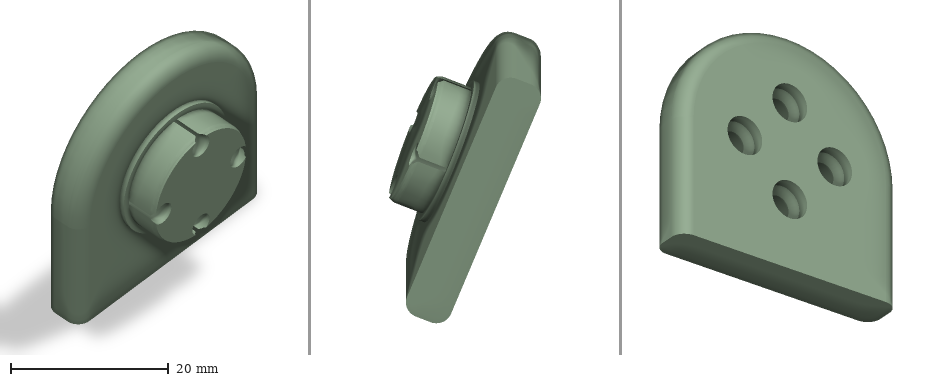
import cadquery as cq
import math

plate_width = 34.0
arch_radius = plate_width / 2
plate_bottom = -arch_radius
plate_thickness = 6.0
edge_fillet = 2.0

shoulder_diameter = 19.0
shoulder_height = 0.75
boss_radius = 8.55
boss_end = 11.2
nose_length = 0.8
nose_radius = 0.9
tip_length = 0.25
tip_radius = 8.3

screw_count = 4
screw_circle_radius = 7.0
head_diameter = 5.4
head_depth = 1.7
clearance_diameter = 3.45
pilot_diameter = 3.14
cone_depth = (head_diameter - clearance_diameter) / 2


def make_plate():
    """Arched plate with both long edges rounded and a flat, sharp bottom."""
    plate = (
        cq.Workplane("YZ")
        .moveTo(-arch_radius, plate_bottom)
        .lineTo(-arch_radius, 0)
        .threePointArc((0, arch_radius), (arch_radius, 0))
        .lineTo(arch_radius, plate_bottom)
        .close()
        .extrude(plate_thickness)
    )
    rounded_edges = plate.faces("<X or >X").edges("not <Z")
    return plate.newObject(rounded_edges.vals()).fillet(edge_fillet)


def make_boss():
    """Shoulder and boss turned about X; the nose arc runs into a short tapered tip."""
    shoulder_end = plate_thickness + shoulder_height
    shoulder_radius = shoulder_diameter / 2
    nose_start = boss_end - nose_length
    tip_start = boss_end - tip_length
    nose_angle = math.asin((tip_start - nose_start) / nose_radius)
    nose_centre_radius = boss_radius - nose_radius
    tip_start_radius = nose_centre_radius + nose_radius * math.cos(nose_angle)
    nose_middle = (
        nose_start + nose_radius * math.sin(nose_angle / 2),
        nose_centre_radius + nose_radius * math.cos(nose_angle / 2),
    )
    overlap_start = plate_thickness / 2
    return (
        cq.Workplane("XY")
        .moveTo(overlap_start, 0)
        .lineTo(overlap_start, shoulder_radius)
        .lineTo(shoulder_end, shoulder_radius)
        .lineTo(shoulder_end, boss_radius)
        .lineTo(nose_start, boss_radius)
        .threePointArc(nose_middle, (tip_start, tip_start_radius))
        .lineTo(boss_end, tip_radius)
        .lineTo(boss_end, 0)
        .close()
        .revolve(360, (0, 0, 0), (1, 0, 0))
    )


def make_screw_hole():
    """Cutter along X: head recess, cone, clearance bore, then the pilot bore through the boss.

    The pilot bore just breaks through the side of the boss, leaving a narrow slit.
    """
    head_radius = head_diameter / 2
    clearance_radius = clearance_diameter / 2
    pilot_radius = pilot_diameter / 2
    cone_end = head_depth + cone_depth
    return (
        cq.Workplane("XY")
        .lineTo(0, head_radius)
        .lineTo(head_depth, head_radius)
        .lineTo(cone_end, clearance_radius)
        .lineTo(plate_thickness, clearance_radius)
        .lineTo(plate_thickness, pilot_radius)
        .lineTo(boss_end, pilot_radius)
        .lineTo(boss_end, 0)
        .close()
        .revolve(360, (0, 0, 0), (1, 0, 0))
    )


result = make_plate().union(make_boss())
screw_hole = make_screw_hole()
for index in range(screw_count):
    angle = 2 * math.pi * index / screw_count
    hole_y = screw_circle_radius * math.cos(angle)
    hole_z = screw_circle_radius * math.sin(angle)
    result = result.cut(screw_hole.translate((0, hole_y, hole_z)))